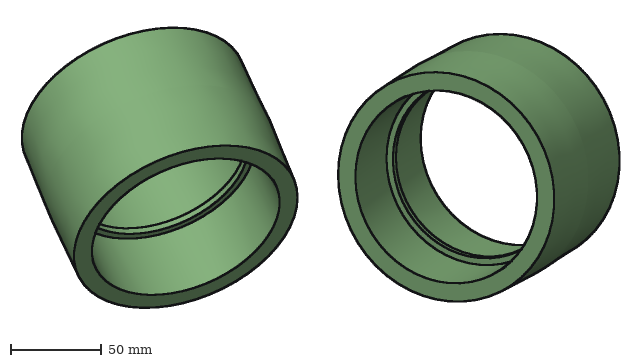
import cadquery as cq

length = 90.0
middle_diameter = 133.0
end_diameter = 131.0
socket_diameter = 110.0
stop_bore_diameter = 102.3
stop_width = 4.3

half_length = length / 2
middle_radius = middle_diameter / 2
end_radius = end_diameter / 2


def tapered_half(direction):
    """Solid cone from the middle plane to one end face, narrowing outwards."""
    return (
        cq.Workplane("YZ")
        .circle(middle_radius)
        .workplane(offset=direction * half_length)
        .circle(end_radius)
        .loft(ruled=True)
    )


def socket(direction):
    """Cylindrical cutter from one side of the stop to the end face."""
    depth = half_length - stop_width / 2
    return (
        cq.Workplane("YZ", origin=(direction * stop_width / 2, 0, 0))
        .circle(socket_diameter / 2)
        .extrude(direction * depth)
    )


body = tapered_half(-1).union(tapered_half(1))

for side in (-1, 1):
    body = body.cut(socket(side))

stop_bore = (
    cq.Workplane("YZ", origin=(-half_length, 0, 0))
    .circle(stop_bore_diameter / 2)
    .extrude(length)
)
result = body.cut(stop_bore)